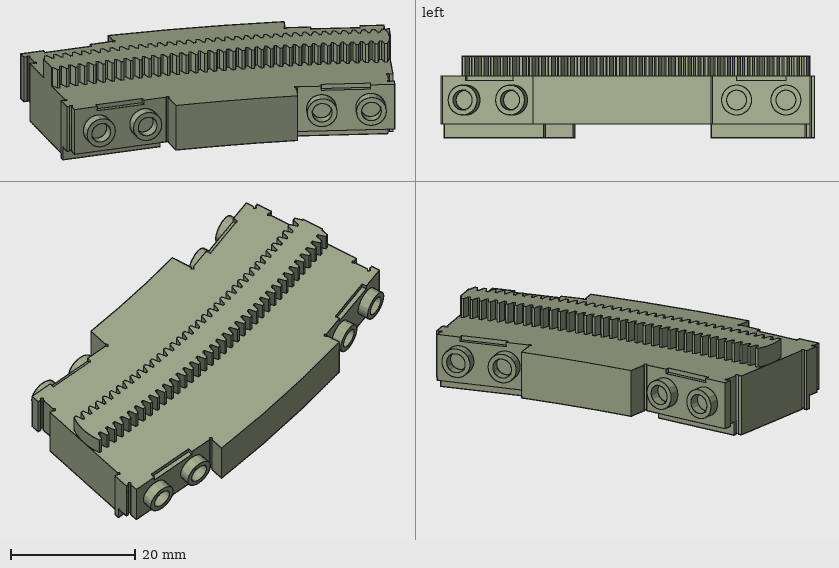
import cadquery as cq
import math

bend_radius = 202.5
bend_angle = 16
tooth_count = 36

foot_height = 2.25
body_height = 7.8
rack_height = 3.2
body_top = foot_height + body_height

end_width = 25.55
end_length = 16.0
middle_width = 31.95

tab_inner = 8.4
tab_width = 2.8
tab_length = 0.7
notch_inner = 8.4
notch_width = 2.9
notch_depth = 0.85
relief_diameter = 0.5

stud_diameter = 4.8
stud_hole_diameter = 3.2
stud_length = 1.8
stud_spacing = 7.95
stud_first = 3.9
ledge_width = 0.8
ledge_drop = 0.7

foot_width = 18.45
foot_wall = 1.15

rack_tip = 3.15
rack_root = 1.85
tip_flat = 0.28
root_flat = 0.22


def polar(radius, angle):
    """Point at a radius from the bend axis, angle in degrees measured from the lower end."""
    turn = math.radians(angle)
    return (bend_radius - radius * math.cos(turn), radius * math.sin(turn))


def box(x_min, x_max, y_min, y_max, z_min, z_max):
    size = (x_max - x_min, y_max - y_min, z_max - z_min)
    return cq.Workplane("XY").box(*size, centered=False).translate((x_min, y_min, z_min))


def upper_end(shape):
    """Carry lower-end geometry to the upper end: half a turn, then around the bend."""
    turned = shape.rotate((0, 0, 0), (0, 0, 1), 180)
    return turned.rotate((bend_radius, 0, 0), (bend_radius, 0, 1), -bend_angle)


def middle():
    """Wide curved block between the two straight ends."""
    outer = bend_radius + middle_width / 2
    inner = bend_radius - middle_width / 2
    outer_start = math.degrees(math.asin(end_length / outer))
    inner_start = math.degrees(math.asin(end_length / inner))
    return (
        cq.Workplane("XY")
        .workplane(offset=foot_height)
        .moveTo(*polar(outer, outer_start))
        .threePointArc(polar(outer, bend_angle / 2), polar(outer, bend_angle - outer_start))
        .lineTo(*polar(inner, bend_angle - inner_start))
        .threePointArc(polar(inner, bend_angle / 2), polar(inner, inner_start))
        .close()
        .extrude(body_height)
    )


def end_block():
    """Straight end with its tab and hollow foot, open toward the middle of the part."""
    half = end_width / 2
    foot = foot_width / 2
    tab_outer = tab_inner + tab_width
    block = box(-half, half, 0, end_length, foot_height, body_top)
    block = block.union(box(tab_inner, tab_outer, -tab_length, 0, foot_height, body_top))
    block = block.union(box(-foot, foot, 0, end_length, 0, foot_height))
    block = block.union(box(tab_inner, foot, -tab_length, 0, 0, foot_height))
    channel = foot - foot_wall
    return block.cut(box(-channel, channel, foot_wall, end_length, 0, foot_height))


def studs():
    """Hollow studs on both side walls of the lower end."""
    rings = cq.Workplane("XY")
    for row in range(2):
        place = (stud_first + row * stud_spacing, foot_height + body_height / 2)
        for side in (-1, 1):
            ring = (
                cq.Workplane("YZ")
                .workplane(offset=side * end_width / 2)
                .center(*place)
                .circle(stud_diameter / 2)
                .circle(stud_hole_diameter / 2)
                .extrude(side * stud_length)
            )
            rings = rings.union(ring)
    return rings


def end_cuts():
    """Notch, corner reliefs and side ledges of the lower end."""
    half = end_width / 2
    notch_outer = notch_inner + notch_width
    cuts = box(-notch_outer, -notch_inner, 0, notch_depth, 0, body_top)
    relief_points = [
        (-half, end_length),
        (half, end_length),
        (-notch_outer, notch_depth),
        (-notch_inner, notch_depth),
        (tab_inner, 0),
        (tab_inner + tab_width, 0),
    ]
    reliefs = cq.Workplane("XY").pushPoints(relief_points).circle(relief_diameter / 2).extrude(body_top)
    cuts = cuts.union(reliefs)
    ledge_end = stud_first + stud_spacing
    for inside, outside in ((half - ledge_width, half), (-half, ledge_width - half)):
        cuts = cuts.union(box(inside, outside, stud_first, ledge_end, body_top - ledge_drop, body_top))
    return cuts


def tooth_row(side):
    """Toothed edge from the lower to the upper end; side is +1 outside the bend, -1 inside."""
    pitch = bend_angle / tooth_count
    tip = bend_radius + side * rack_tip
    root = bend_radius + side * rack_root
    points = [polar(root, 0)]
    for tooth in range(tooth_count):
        middle_angle = (tooth + 0.5) * pitch
        root_reach = (1 - root_flat) / 2 * pitch
        tip_reach = tip_flat / 2 * pitch
        points.append(polar(root, middle_angle - root_reach))
        points.append(polar(tip, middle_angle - tip_reach))
        points.append(polar(tip, middle_angle + tip_reach))
        points.append(polar(root, middle_angle + root_reach))
    return points


def rack():
    """Double-sided curved rack; its upper end is slightly convex between the last tooth tips."""
    outer_edge = tooth_row(1)[:-1]
    inner_edge = tooth_row(-1)[:-1]
    crown = polar(bend_radius, bend_angle)
    return (
        cq.Workplane("XY")
        .workplane(offset=body_top)
        .polyline(outer_edge)
        .threePointArc(crown, inner_edge[-1])
        .polyline(inner_edge[-2::-1], includeCurrent=True)
        .close()
        .extrude(rack_height)
    )


end = end_block().union(studs())
cuts = end_cuts()
result = middle().union(end).union(upper_end(end)).cut(cuts).cut(upper_end(cuts)).union(rack())